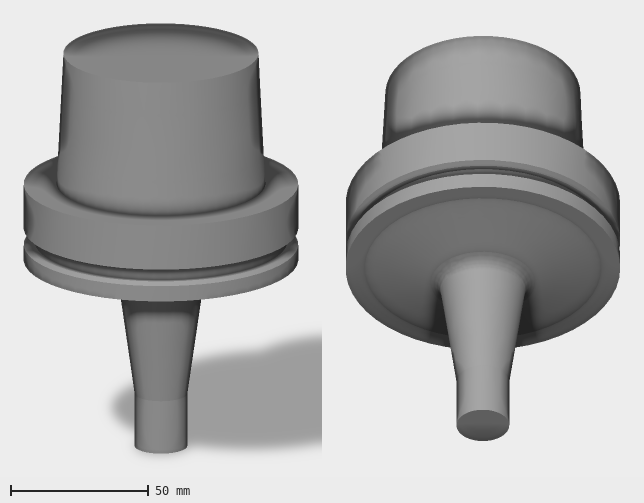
import cadquery as cq
import math

shank_height = 49.9
shank_base_radius = 38.0
shank_taper = 1 / 20

flange_radius = 99.93 / 2
flange_thickness = 29.0

groove_center_depth = 20.0
groove_radius = 91.95 / 2
groove_width = 4.0
groove_chamfer_height = 1.15
groove_chamfer_angle = math.radians(30)

hub_radius = 43.0
hub_angle = math.radians(15)

nose_length = 100.0
nose_radius = 19.2 / 2
nose_tip_length = 20.0
neck_angle = math.radians(8)
neck_fillet_radius = 5.0


def neck_junction():
    """Radius and height at which the hub cone and the neck cone meet."""
    neck_end_z = -nose_length + nose_tip_length
    hub_slope = math.tan(hub_angle)
    neck_slope = math.tan(neck_angle)
    drop = -flange_thickness - neck_end_z
    radius = (nose_radius + neck_slope * (drop - hub_radius * hub_slope)) / (1 - neck_slope * hub_slope)
    height = -flange_thickness - (hub_radius - radius) * hub_slope
    return radius, height


def revolve_profile(points):
    """Solid of revolution about Z from (radius, height) points."""
    return cq.Workplane("XZ").polyline(points).close().revolve(360, (0, 0, 0), (0, 1, 0))


def make_shank():
    top_radius = shank_base_radius - shank_height * shank_taper
    return revolve_profile([
        (0, 0),
        (shank_base_radius, 0),
        (top_radius, shank_height),
        (0, shank_height),
    ])


def make_flange():
    groove_top = -groove_center_depth + groove_width / 2
    groove_bottom = -groove_center_depth - groove_width / 2
    lip_radius = flange_radius - groove_chamfer_height / math.tan(groove_chamfer_angle)
    return revolve_profile([
        (0, 0),
        (flange_radius, 0),
        (flange_radius, groove_top + groove_chamfer_height),
        (lip_radius, groove_top),
        (groove_radius, groove_top),
        (groove_radius, groove_bottom),
        (lip_radius, groove_bottom),
        (flange_radius, groove_bottom - groove_chamfer_height),
        (flange_radius, -flange_thickness),
        (0, -flange_thickness),
    ])


def make_nose():
    """Hub cone, filleted into the tapered neck, ending in a cylindrical tip."""
    junction_radius, junction_z = neck_junction()
    neck_end_z = -nose_length + nose_tip_length
    nose = revolve_profile([
        (0, -flange_thickness),
        (hub_radius, -flange_thickness),
        (junction_radius, junction_z),
        (nose_radius, neck_end_z),
        (nose_radius, -nose_length),
        (0, -nose_length),
    ])
    margin = 0.1
    junction_box = cq.selectors.BoxSelector(
        (-flange_radius, -flange_radius, junction_z - margin),
        (flange_radius, flange_radius, junction_z + margin),
        boundingbox=True,
    )
    return nose.edges(junction_box).fillet(neck_fillet_radius)


result = make_flange().union(make_shank()).union(make_nose())